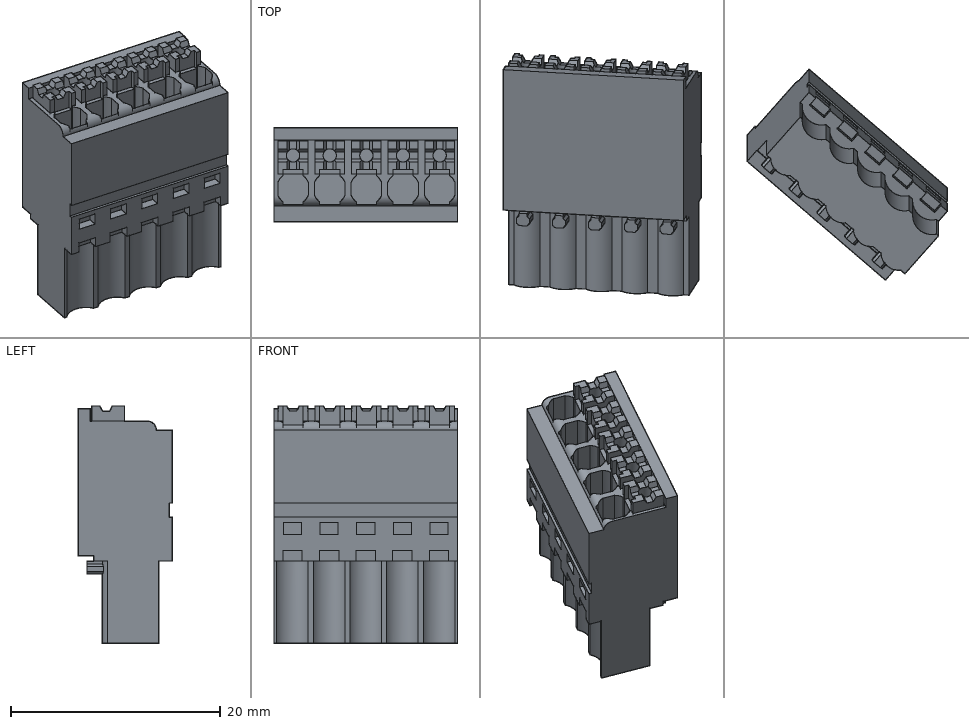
import cadquery as cq
import math


POLES = 5
PITCH = 3.5
WIDTH = 17.54
POLE_X = [(i - (POLES - 1) / 2) * PITCH for i in range(POLES)]
ENTRY_SHIFT = 0.06
ENTRY_X = [x + ENTRY_SHIFT for x in POLE_X]

BODY_BOTTOM = 7.86
BACK_BOTTOM = 8.37
LEDGE_Z = 20.38
SHOULDER_Z = 21.24
WALL_TOP = 22.43
BUTTON_TOP = 22.7

DEPTH = 9.0
LEDGE_DEPTH = 1.52
SHOULDER_RADIUS = SHOULDER_Z - LEDGE_Z
WALL_FRONT = 7.82
BACK_STEP_Y = 7.52

GROOVE_BOTTOM = 12.07
GROOVE_TOP = 13.4
GROOVE_DEPTH = 0.28

PLUG_FRONT = 1.29
PLUG_SIDE_BACK = 6.18
PLUG_BACK = 6.71
LOBE_HALF_WIDTH = 1.25
SCALLOP_RADIUS = 1.85
SCALLOP_HALF_WIDTH = 1.5
SCALLOP_AXIS_Y = PLUG_FRONT - math.sqrt(SCALLOP_RADIUS ** 2 - SCALLOP_HALF_WIDTH ** 2)

OPENING_DEPTH = 0.9
WINDOW_WIDTH = 1.74
WINDOW_BOTTOM = 10.43
WINDOW_TOP = 11.57
SLOT_WIDTH = 1.85
SLOT_TOP = 8.88

KEY_BACK = 8.17
KEY_HALF_WIDTH = 0.65
KEY_NECK_HALF_WIDTH = 0.4
KEY_NECK_HEIGHT = 0.27
KEY_CHAMFER = 0.25
KEY_HEIGHT = 1.23

ENTRY_FRONT = 1.66
ENTRY_AXIS_Y = 3.15
ENTRY_RADIUS = 1.58
ENTRY_HALF_WIDTH = 1.46
ENTRY_THROAT = 1.92
ENTRY_DEPTH = 8.0

BUTTON_WIDTH = 2.84
BUTTON_FRONT = 4.56
BUTTON_BACK = 7.72
BUTTON_BOTTOM = 20.87
NOTCH_DEPTH = 0.43
BUTTON_HOLE_Y = 6.33
BUTTON_HOLE_DIAMETER = 1.27
CROSS_TOP_WIDTH = 1.2
CROSS_BOTTOM_WIDTH = 0.64
CROSS_DEPTH = 0.52


def block(x, width, y0, y1, z0, z1):
    """Box centred on x, between two depths and two heights."""
    base = cq.Workplane("XY", origin=(x, y0, z0))
    return base.box(width, y1 - y0, z1 - z0, centered=(True, False, False))


def make_body():
    """Upper housing: a side outline with the rounded shoulder, back wall and front groove."""
    arc_drop = SHOULDER_RADIUS * (1 - math.sqrt(0.5))
    return (
        cq.Workplane("YZ", origin=(-WIDTH / 2, 0, 0))
        .moveTo(0, BODY_BOTTOM)
        .lineTo(0, GROOVE_BOTTOM)
        .lineTo(GROOVE_DEPTH, GROOVE_BOTTOM)
        .lineTo(GROOVE_DEPTH, GROOVE_TOP)
        .lineTo(0, GROOVE_TOP)
        .lineTo(0, LEDGE_Z)
        .lineTo(LEDGE_DEPTH, LEDGE_Z)
        .threePointArc(
            (LEDGE_DEPTH + arc_drop, SHOULDER_Z - arc_drop),
            (LEDGE_DEPTH + SHOULDER_RADIUS, SHOULDER_Z),
        )
        .lineTo(WALL_FRONT, SHOULDER_Z)
        .lineTo(WALL_FRONT, WALL_TOP)
        .lineTo(DEPTH, WALL_TOP)
        .lineTo(DEPTH, BACK_BOTTOM)
        .lineTo(BACK_STEP_Y, BACK_BOTTOM)
        .lineTo(BACK_STEP_Y, BODY_BOTTOM)
        .close()
        .extrude(WIDTH)
    )


def make_plug():
    """Plug section: hollow scallops along the front and convex lobes along the back."""
    outline = cq.Workplane("XY").moveTo(-WIDTH / 2, PLUG_FRONT)
    for x in POLE_X:
        outline = outline.lineTo(x - SCALLOP_HALF_WIDTH, PLUG_FRONT).threePointArc(
            (x, SCALLOP_AXIS_Y + SCALLOP_RADIUS), (x + SCALLOP_HALF_WIDTH, PLUG_FRONT)
        )
    outline = outline.lineTo(WIDTH / 2, PLUG_FRONT).lineTo(WIDTH / 2, PLUG_SIDE_BACK)
    for x in reversed(POLE_X):
        outline = outline.lineTo(x + LOBE_HALF_WIDTH, PLUG_SIDE_BACK).threePointArc(
            (x, PLUG_BACK), (x - LOBE_HALF_WIDTH, PLUG_SIDE_BACK)
        )
    outline = outline.lineTo(-WIDTH / 2, PLUG_SIDE_BACK)
    return outline.close().extrude(BODY_BOTTOM)


def make_key(x):
    """Coding key standing out of the plug's back, narrow at its neck and chamfered below."""
    top = BODY_BOTTOM
    bottom = top - KEY_HEIGHT
    neck_bottom = top - KEY_NECK_HEIGHT
    ramp = KEY_HALF_WIDTH - KEY_NECK_HALF_WIDTH
    return (
        cq.Workplane("XZ", origin=(x, KEY_BACK, 0))
        .polyline([
            (-KEY_NECK_HALF_WIDTH, top),
            (KEY_NECK_HALF_WIDTH, top),
            (KEY_NECK_HALF_WIDTH, neck_bottom),
            (KEY_HALF_WIDTH, neck_bottom - ramp),
            (KEY_HALF_WIDTH, bottom + KEY_CHAMFER),
            (KEY_HALF_WIDTH - KEY_CHAMFER, bottom),
            (KEY_CHAMFER - KEY_HALF_WIDTH, bottom),
            (-KEY_HALF_WIDTH, bottom + KEY_CHAMFER),
            (-KEY_HALF_WIDTH, neck_bottom - ramp),
            (-KEY_NECK_HALF_WIDTH, neck_bottom),
        ])
        .close()
        .extrude(KEY_BACK - PLUG_SIDE_BACK)
    )


def make_wire_entry(x):
    """Round entry with flattened sides and a straight-sided throat towards the button."""
    bottom = SHOULDER_Z - ENTRY_DEPTH
    bore = (
        cq.Workplane("XY", origin=(x, ENTRY_AXIS_Y, bottom))
        .circle(ENTRY_RADIUS)
        .extrude(ENTRY_DEPTH)
        .intersect(block(x, 2 * ENTRY_HALF_WIDTH, ENTRY_FRONT, BUTTON_FRONT, bottom, SHOULDER_Z))
    )
    return bore.union(block(x, ENTRY_THROAT, ENTRY_FRONT, BUTTON_FRONT, bottom, SHOULDER_Z))


def make_housing():
    """Housing with its wire entries, button pockets, windows, slots and keys."""
    housing = make_body().union(make_plug())
    for x in POLE_X:
        housing = housing.union(make_key(x))
        housing = housing.cut(block(x, WINDOW_WIDTH, 0, OPENING_DEPTH, WINDOW_BOTTOM, WINDOW_TOP))
        housing = housing.cut(block(x, SLOT_WIDTH, 0, OPENING_DEPTH, BODY_BOTTOM, SLOT_TOP))
    for x in ENTRY_X:
        housing = housing.cut(make_wire_entry(x))
        housing = housing.cut(block(x, BUTTON_WIDTH, BUTTON_FRONT, BUTTON_BACK, BUTTON_BOTTOM, SHOULDER_Z))
    return housing


def make_cross_groove(plane, origin):
    """Tapered groove through the button's top face, running both ways from its origin."""
    return (
        cq.Workplane(plane, origin=origin)
        .polyline([
            (-CROSS_TOP_WIDTH / 2, 0),
            (CROSS_TOP_WIDTH / 2, 0),
            (CROSS_BOTTOM_WIDTH / 2, -CROSS_DEPTH),
            (-CROSS_BOTTOM_WIDTH / 2, -CROSS_DEPTH),
        ])
        .close()
        .extrude(DEPTH, both=True)
    )


def make_button(x):
    """Release button with a crossed pair of grooves, a centre hole and a notch in its front."""
    centre = (x, BUTTON_HOLE_Y, BUTTON_TOP)
    hole = (
        cq.Workplane("XY", origin=(x, BUTTON_HOLE_Y, BUTTON_BOTTOM))
        .circle(BUTTON_HOLE_DIAMETER / 2)
        .extrude(BUTTON_TOP - BUTTON_BOTTOM)
    )
    notch = block(x, ENTRY_THROAT, BUTTON_FRONT, BUTTON_FRONT + NOTCH_DEPTH, BUTTON_BOTTOM, BUTTON_TOP)
    return (
        block(x, BUTTON_WIDTH, BUTTON_FRONT, BUTTON_BACK, BUTTON_BOTTOM, BUTTON_TOP)
        .cut(make_cross_groove("XZ", centre))
        .cut(make_cross_groove("YZ", centre))
        .cut(hole)
        .cut(notch)
    )


housing = make_housing()
buttons = [make_button(x) for x in ENTRY_X]

result = cq.Compound.makeCompound([housing.val(), *[button.val() for button in buttons]])